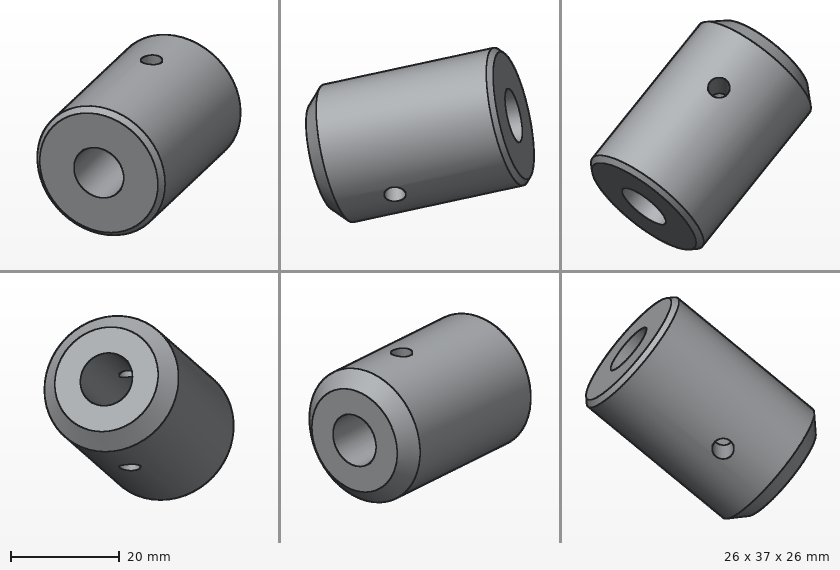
import cadquery as cq

outer_diameter = 26.0
length = 37.0
bore_diameter = 10.1
front_chamfer = 1.0
back_chamfer = 3.0
pin_hole_diameter = 4.0
pin_hole_from_back = 14.0

front_y = -length / 2
back_y = length / 2


def sleeve_body():
    """Cylinder along Y with a small front chamfer and a larger back chamfer."""
    body = (
        cq.Workplane("XZ", origin=(0, front_y, 0))
        .circle(outer_diameter / 2)
        .extrude(-length)
    )
    body = body.faces("<Y").chamfer(front_chamfer)
    return body.faces(">Y").chamfer(back_chamfer)


def axial_bore():
    """Cutter for the bore running the full length of the sleeve."""
    return (
        cq.Workplane("XZ", origin=(0, front_y, 0))
        .circle(bore_diameter / 2)
        .extrude(-length)
    )


def cross_pin_hole():
    """Cutter for the vertical pin hole through both walls."""
    return (
        cq.Workplane("XY", origin=(0, back_y - pin_hole_from_back, 0))
        .circle(pin_hole_diameter / 2)
        .extrude(outer_diameter / 2, both=True)
    )


result = sleeve_body().cut(axial_bore()).cut(cross_pin_hole())